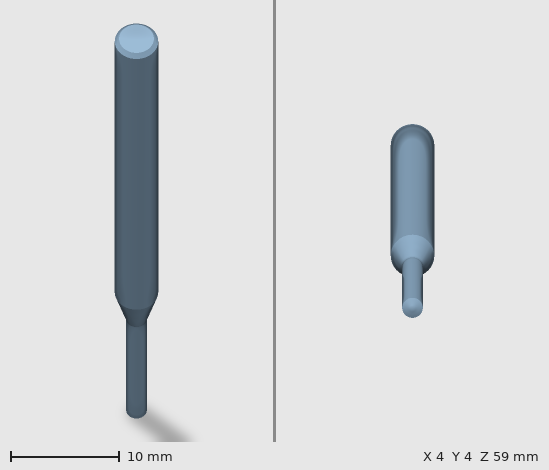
import cadquery as cq
import math

total_length = 59.0
shank_length = 40.0
taper_length = 4.2
cutting_length = 13.0

shank_diameter = 4.0
drill_diameter = 1.9

shank_chamfer = 0.4
point_angle = 140.0

shank_radius = shank_diameter / 2
drill_radius = drill_diameter / 2
shank_bottom = total_length - shank_length
taper_bottom = shank_bottom - taper_length
point_height = drill_radius / math.tan(math.radians(point_angle / 2))


def revolve_about_z(profile):
    """Turn a closed (radius, height) outline into a solid around the Z axis."""
    return cq.Workplane("XZ").polyline(profile).close().revolve(360, (0, 0, 0), (0, 1, 0))


def make_holder():
    """Chamfered shank that tapers down to a short plain neck."""
    return revolve_about_z([
        (0, cutting_length),
        (drill_radius, cutting_length),
        (drill_radius, taper_bottom),
        (shank_radius, shank_bottom),
        (shank_radius, total_length - shank_chamfer),
        (shank_radius - shank_chamfer, total_length),
        (0, total_length),
    ])


def make_cutter():
    """Cylindrical cutting length with a conical drill point."""
    return revolve_about_z([
        (0, 0),
        (drill_radius, point_height),
        (drill_radius, cutting_length),
        (0, cutting_length),
    ])


holder = make_holder()
cutter = make_cutter()

result = cq.Compound.makeCompound([holder.val(), cutter.val()])